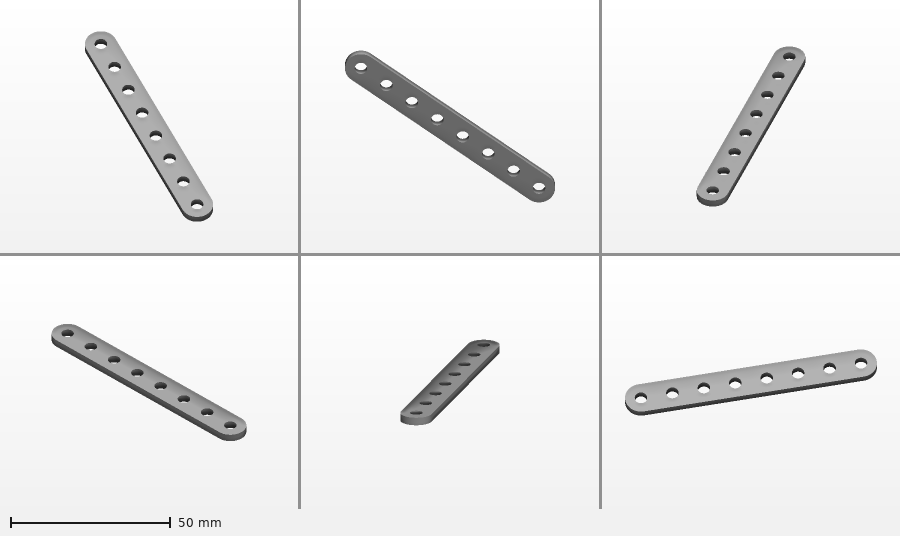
import cadquery as cq

length = 80.0
width = 10.0
thickness = 2.5
hole_diameter = 3.9
hole_count = 8

hole_pitch = (length - width) / (hole_count - 1)

bar = cq.Workplane("XY").slot2D(length, width).extrude(thickness)

result = (
    bar.faces(">Z")
    .workplane(origin=(0, 0, thickness))
    .rarray(hole_pitch, 0.8, hole_count, 1)
    .hole(hole_diameter)
)